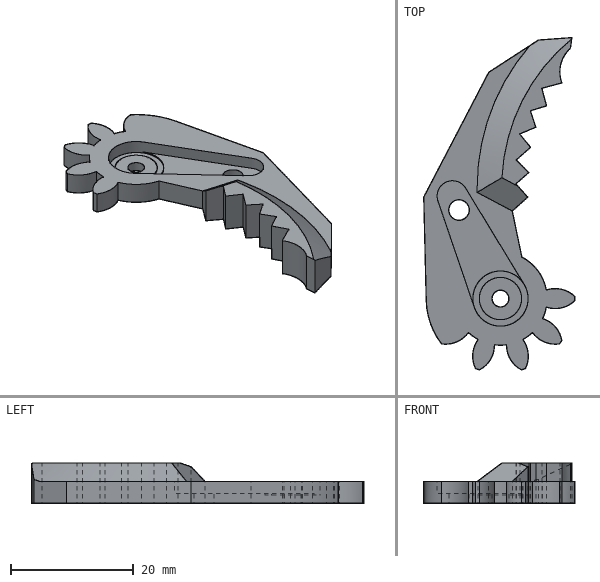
import cadquery as cq
import math


plate_thickness = 3.6
jaw_rise = 3.0
total_height = plate_thickness + jaw_rise

root_radius = 7.62
outer_radius = 12.13
tooth_pitch_angle = 36.0
full_tooth_count = 4
tooth_root_half_width = 1.42
tooth_mid_radius = 9.6
tooth_mid_half_width = 1.6
tooth_tip_half_width = 0.35

end_tooth_angle = -full_tooth_count * tooth_pitch_angle
heel_angle = 181.5

back_points = [(-12.53, 16.54), (-1.92, 36.9), (6.2, 42.17)]
tip = (11.66, 42.57)

hook_start = (11.43, 40.82)
hook_middle = (9.75, 37.7)
hook_end = (10.03, 35.15)

grip_teeth = [
    ((6.76, 34.27), (7.53, 31.42)),
    ((4.9, 30.6), (5.78, 27.92)),
    ((3.15, 26.83), (4.92, 24.66)),
    ((2.59, 22.6), (4.62, 20.53)),
    ((2.52, 18.7), (4.46, 16.54)),
]
jaw_end_point = (1.94, 14.27)
neck = (3.5, 6.81)

bevel_width = 4.0
jaw_arc_center = (31.5, 18.17)
jaw_bottom_radius = 35.3
jaw_top_radius = jaw_bottom_radius - bevel_width
jaw_end_angle = -27.9
jaw_reach = 40.0

pocket_depth = 2.0
pocket_floor = plate_thickness - pocket_depth
pocket_pivot_radius = 4.5
pocket_far_radius = 2.5
pocket_far_center = (-7.83, 16.72)
groove_depth = 0.2
groove_inner_radius = 3.45

pivot_hole_diameter = 2.7
link_hole_diameter = 3.3
link_hole_center = (-6.76, 14.44)


def polar(radius, angle):
    a = math.radians(angle)
    return (radius * math.cos(a), radius * math.sin(a))


def tooth_point(radius, offset, angle):
    """Point at a distance along a tooth axis and an offset to its left."""
    a = math.radians(angle)
    x = radius * math.cos(a) - offset * math.sin(a)
    y = radius * math.sin(a) + offset * math.cos(a)
    return (x, y)


def flank_points(side, angle):
    """Root, middle and tip of one flank; side is +1 for left, -1 for right."""
    root_along = math.sqrt(root_radius**2 - tooth_root_half_width**2)
    tip_along = math.sqrt(outer_radius**2 - tooth_tip_half_width**2)
    return (
        tooth_point(root_along, side * tooth_root_half_width, angle),
        tooth_point(tooth_mid_radius, side * tooth_mid_half_width, angle),
        tooth_point(tip_along, side * tooth_tip_half_width, angle),
    )


def gear_tooth(angle):
    left_root, left_mid, left_tip = flank_points(1, angle)
    right_root, right_mid, right_tip = flank_points(-1, angle)
    return (
        cq.Workplane("XY")
        .moveTo(0, 0)
        .lineTo(*right_root)
        .threePointArc(right_mid, right_tip)
        .threePointArc(polar(outer_radius, angle), left_tip)
        .threePointArc(left_mid, left_root)
        .close()
        .extrude(plate_thickness)
    )


def finger(height):
    """Prism of the finger outline, closed through the pivot centre."""
    flank_root, flank_mid, flank_tip = flank_points(1, end_tooth_angle)
    heel_middle_angle = (end_tooth_angle + 360 + heel_angle) / 2
    outline = (
        cq.Workplane("XY")
        .moveTo(0, 0)
        .lineTo(*flank_root)
        .threePointArc(flank_mid, flank_tip)
        .threePointArc(polar(outer_radius, heel_middle_angle), polar(outer_radius, heel_angle))
    )
    for point in back_points:
        outline = outline.lineTo(*point)
    outline = outline.lineTo(*tip).lineTo(*hook_start)
    outline = outline.threePointArc(hook_middle, hook_end)
    for valley, crest in grip_teeth:
        outline = outline.lineTo(*valley).lineTo(*crest)
    return outline.lineTo(*jaw_end_point).lineTo(*neck).close().extrude(height)


def jaw_back_bevel():
    """Truncated cone beveling the back of the jaw, continued straight below its centre."""
    cone = cq.Workplane(cq.Solid.makeCone(jaw_bottom_radius, jaw_top_radius, jaw_rise))
    straight = (
        cq.Workplane("XZ")
        .polyline([(-jaw_bottom_radius, 0), (0, 0), (0, jaw_rise), (-jaw_top_radius, jaw_rise)])
        .close()
        .extrude(jaw_reach)
    )
    return cone.union(straight).translate((*jaw_arc_center, plate_thickness))


def jaw_end_wedge():
    """Block whose sloping face is the flat bevel at the pivot end of the jaw."""
    block = (
        cq.Workplane("YZ")
        .polyline([(0, 0), (jaw_reach, 0), (jaw_reach, jaw_rise), (bevel_width, jaw_rise)])
        .close()
        .extrude(jaw_reach / 2, both=True)
    )
    block = block.rotate((0, 0, 0), (0, 0, 1), jaw_end_angle)
    return block.translate((*jaw_end_point, plate_thickness))


def disc(radius, bottom, height):
    return cq.Workplane("XY").workplane(offset=bottom).circle(radius).extrude(height)


def pocket():
    """Tapered slot joining the pivot circle to the far circle along their tangents."""
    far_x, far_y = pocket_far_center
    axis_angle = math.degrees(math.atan2(far_y, far_x))
    distance = math.hypot(far_x, far_y)
    tangent_angle = math.degrees(math.acos((pocket_pivot_radius - pocket_far_radius) / distance))

    def far_point(angle):
        x, y = polar(pocket_far_radius, angle)
        return (far_x + x, far_y + y)

    return (
        cq.Workplane("XY")
        .workplane(offset=pocket_floor)
        .moveTo(*polar(pocket_pivot_radius, axis_angle - tangent_angle))
        .lineTo(*far_point(axis_angle - tangent_angle))
        .threePointArc(far_point(axis_angle), far_point(axis_angle + tangent_angle))
        .lineTo(*polar(pocket_pivot_radius, axis_angle + tangent_angle))
        .threePointArc(
            polar(pocket_pivot_radius, axis_angle + 180),
            polar(pocket_pivot_radius, axis_angle - tangent_angle),
        )
        .close()
        .extrude(pocket_depth)
    )


body = finger(plate_thickness).union(disc(root_radius, 0, plate_thickness))
for index in range(full_tooth_count):
    body = body.union(gear_tooth(-index * tooth_pitch_angle))

jaw = finger(total_height).intersect(jaw_back_bevel()).intersect(jaw_end_wedge())
body = body.union(jaw)

groove_floor = pocket_floor - groove_depth
groove = disc(pocket_pivot_radius, groove_floor, groove_depth)
groove = groove.cut(disc(groove_inner_radius, groove_floor, groove_depth))
body = body.cut(pocket()).cut(groove)

body = body.cut(disc(pivot_hole_diameter / 2, 0, plate_thickness))
link_hole = disc(link_hole_diameter / 2, 0, plate_thickness).translate((*link_hole_center, 0))
result = body.cut(link_hole)